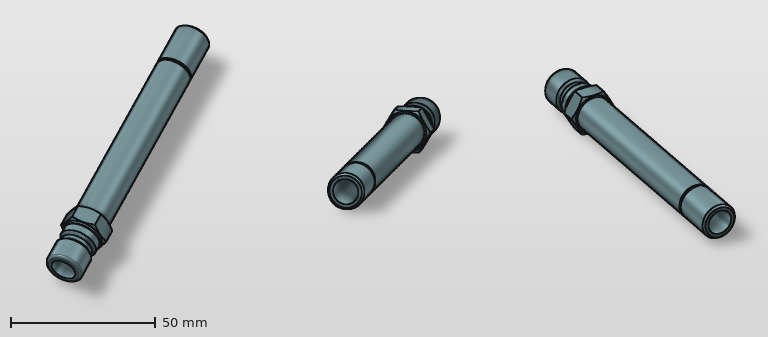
import cadquery as cq
import math

length = 110.0
front = -length / 2
bore_diameter = 9.0

plug_diameter = 13.6
nose_radius = 1.1
neck_diameter = 11.7
nose_length = 8.5
neck_end = 11.2
collar_start = 12.4
collar_end = 15.4
flange_diameter = 14.4

hex_flats = 15.0
hex_start = 16.4
hex_end = 23.0
hex_face_diameter = 14.5
hex_chamfer_angle = 30.0

tube_diameter = 13.1
tube_chamfer = 0.8
ring_distance = 16.4
ring_width = 0.7
ring_depth = 0.3


def revolve_profile(profile):
    """Turn a closed (radius, distance) outline about Y and move it to the front face."""
    return profile.close().revolve(360, (0, 0, 0), (0, 1, 0)).translate((0, front, 0))


def make_turned_body():
    plug_radius = plug_diameter / 2
    neck_radius = neck_diameter / 2
    flange_radius = flange_diameter / 2
    tube_radius = tube_diameter / 2
    nose_chamfer = plug_radius - neck_radius
    ring_centre = length - ring_distance
    arc_offset = nose_radius * (1 - math.sqrt(0.5))
    return revolve_profile(
        cq.Workplane("XY")
        .lineTo(plug_radius - nose_radius, 0)
        .threePointArc((plug_radius - arc_offset, arc_offset), (plug_radius, nose_radius))
        .lineTo(plug_radius, nose_length)
        .lineTo(neck_radius, nose_length + nose_chamfer)
        .lineTo(neck_radius, neck_end)
        .lineTo(plug_radius, collar_start)
        .lineTo(plug_radius, collar_end)
        .lineTo(flange_radius, collar_end)
        .lineTo(flange_radius, hex_start)
        .lineTo(tube_radius, hex_start)
        .lineTo(tube_radius, ring_centre - ring_width / 2)
        .lineTo(tube_radius - ring_depth, ring_centre - ring_width / 2)
        .lineTo(tube_radius - ring_depth, ring_centre + ring_width / 2)
        .lineTo(tube_radius, ring_centre + ring_width / 2)
        .lineTo(tube_radius, length - tube_chamfer)
        .lineTo(tube_radius - tube_chamfer, length)
        .lineTo(0, length)
    )


def make_hexagon():
    """Hexagonal prism with its corners chamfered conically at both ends."""
    corner_radius = hex_flats / math.sqrt(3)
    face_radius = hex_face_diameter / 2
    chamfer_height = (corner_radius - face_radius) * math.tan(math.radians(hex_chamfer_angle))
    prism = (
        cq.Workplane("XZ", origin=(0, front + hex_start, 0))
        .polygon(6, 2 * corner_radius)
        .extrude(hex_start - hex_end)
    )
    envelope = revolve_profile(
        cq.Workplane("XY")
        .moveTo(0, hex_start)
        .lineTo(face_radius, hex_start)
        .lineTo(corner_radius, hex_start + chamfer_height)
        .lineTo(corner_radius, hex_end - chamfer_height)
        .lineTo(face_radius, hex_end)
        .lineTo(0, hex_end)
    )
    return prism.intersect(envelope)


def make_bore():
    return cq.Workplane("XZ", origin=(0, front, 0)).circle(bore_diameter / 2).extrude(-length)


result = make_turned_body().union(make_hexagon()).cut(make_bore())